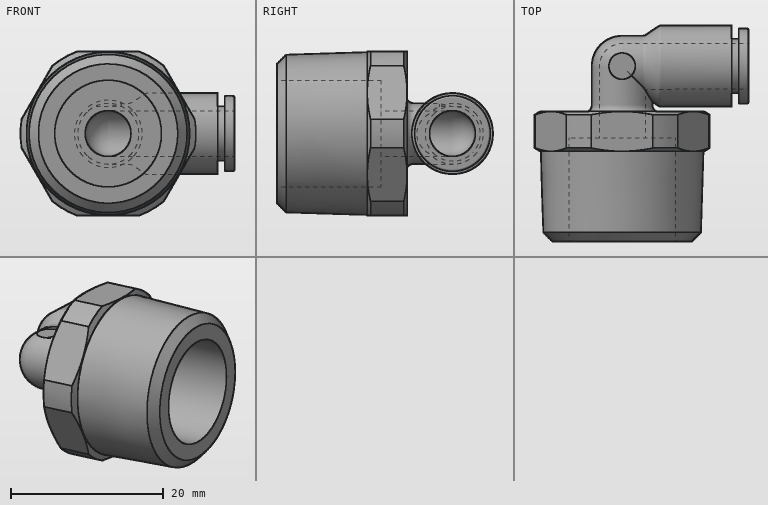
import cadquery as cq
import math


overall_length = 28.3

thread_length = 11.8
thread_top_radius = 10.67
thread_taper = 1 / 16
thread_end_chamfer = 1.22

hex_sides = 6
hex_top = 17.06
hex_across_flats = 21.5
hex_corner_radius = 11.5
hex_face_radius = 10.7
hex_chamfer_angle = 30.0

elbow_radius = 4.0
neck_fillet_start = 17.89
neck_fillet_radius = 1.0

collar_radius = 5.32
cone_start = 2.95
cone_end = 4.9
collar_end = 14.35
cone_root_fillet = 0.74
cone_rim_fillet = 0.6

ring_stem_radius = 3.6
ring_radius = 4.95
ring_start = 15.25
ring_end = 16.55
ring_inner_round = 0.2
ring_outer_round = 0.28

main_bore_radius = 7.0
main_bore_depth = 13.58
passage_radius = 3.0

marking_radius = 1.73

branch_y = overall_length - collar_radius


def revolve_about_y(profile):
    return profile.close().revolve(360, (0, 0, 0), (0, 1, 0))


def revolve_about_branch(profile):
    return profile.close().revolve(360, (0, 0, 0), (1, 0, 0))


def branch_plane():
    return cq.Workplane("XY", origin=(0, branch_y, 0))


def rod_along_y(radius, start, end):
    return cq.Workplane("XZ", origin=(0, start, 0)).circle(radius).extrude(start - end)


def rod_along_branch(radius, end):
    return cq.Workplane("YZ", origin=(0, branch_y, 0)).circle(radius).extrude(end)


def elbow_shape(radius, stem_start, branch_end):
    """Two rods meeting at the elbow centre, with a ball rounding the outer corner."""
    stem = rod_along_y(radius, stem_start, branch_y)
    branch = rod_along_branch(radius, branch_end)
    ball = branch_plane().sphere(radius)
    return stem.union(branch).union(ball)


def thread_body():
    chamfer_radius = thread_top_radius - (thread_length - thread_end_chamfer) * thread_taper / 2
    profile = (
        cq.Workplane("XY")
        .lineTo(chamfer_radius - thread_end_chamfer, 0)
        .lineTo(chamfer_radius, thread_end_chamfer)
        .lineTo(thread_top_radius, thread_length)
        .lineTo(0, thread_length)
    )
    return revolve_about_y(profile)


def hexagon():
    """Hexagonal prism with two vertices on the X axis, trimmed by a chamfered disc."""
    across_corners = hex_across_flats / math.cos(math.pi / hex_sides)
    prism = (
        cq.Workplane("XZ", origin=(0, thread_length, 0))
        .polygon(hex_sides, across_corners)
        .extrude(thread_length - hex_top)
    )
    chamfer_height = (hex_corner_radius - hex_face_radius) * math.tan(math.radians(hex_chamfer_angle))
    disc = (
        cq.Workplane("XY")
        .moveTo(0, thread_length)
        .lineTo(hex_face_radius, thread_length)
        .lineTo(hex_corner_radius, thread_length + chamfer_height)
        .lineTo(hex_corner_radius, hex_top - chamfer_height)
        .lineTo(hex_face_radius, hex_top)
        .lineTo(0, hex_top)
    )
    return prism.intersect(revolve_about_y(disc))


def neck_flare():
    """Concave flare joining the neck to the hexagon; its arc is tangent to the neck."""
    drop = neck_fillet_start - hex_top
    arc_centre_x = elbow_radius + neck_fillet_radius

    def flare_radius(depth):
        return arc_centre_x - math.sqrt(neck_fillet_radius**2 - depth**2)

    profile = (
        cq.Workplane("XY")
        .moveTo(0, hex_top)
        .lineTo(flare_radius(drop), hex_top)
        .threePointArc(
            (flare_radius(drop / 2), neck_fillet_start - drop / 2),
            (elbow_radius, neck_fillet_start),
        )
        .lineTo(0, neck_fillet_start)
    )
    return revolve_about_y(profile)


def ring_at(x, radius):
    """Selector for the round branch edges of a given radius in the plane at x."""
    margin = 0.03
    return cq.selectors.BoxSelector(
        (x - margin, branch_y - radius - margin, -radius - margin),
        (x + margin, branch_y + radius + margin, radius + margin),
        boundingbox=True,
    )


def collar():
    profile = (
        branch_plane()
        .lineTo(0, elbow_radius)
        .lineTo(cone_start, elbow_radius)
        .lineTo(cone_end, collar_radius)
        .lineTo(collar_end, collar_radius)
        .lineTo(collar_end, 0)
    )
    body = revolve_about_branch(profile)
    body = body.edges(ring_at(cone_start, elbow_radius)).fillet(cone_root_fillet)
    return body.edges(ring_at(cone_end, collar_radius)).fillet(cone_rim_fillet)


def release_ring():
    stem = rod_along_branch(ring_stem_radius, ring_end)
    flange = (
        cq.Workplane("YZ", origin=(ring_start, branch_y, 0))
        .circle(ring_radius)
        .extrude(ring_end - ring_start)
        .edges("<X")
        .fillet(ring_inner_round)
        .edges(">X")
        .fillet(ring_outer_round)
    )
    return stem.union(flange)


def marking_recess():
    """Round cutter whose flat floor meets the elbow ball exactly at its rim."""
    floor_z = math.sqrt(elbow_radius**2 - marking_radius**2)
    return (
        cq.Workplane("XY", origin=(0, branch_y, floor_z))
        .circle(marking_radius)
        .extrude(elbow_radius)
    )


outer = (
    thread_body()
    .union(hexagon())
    .union(neck_flare())
    .union(elbow_shape(elbow_radius, hex_top, cone_start))
    .union(collar())
    .union(release_ring())
)

main_bore = rod_along_y(main_bore_radius, 0, main_bore_depth)
passage = elbow_shape(passage_radius, main_bore_depth, ring_end)

result = outer.cut(marking_recess()).cut(main_bore).cut(passage)